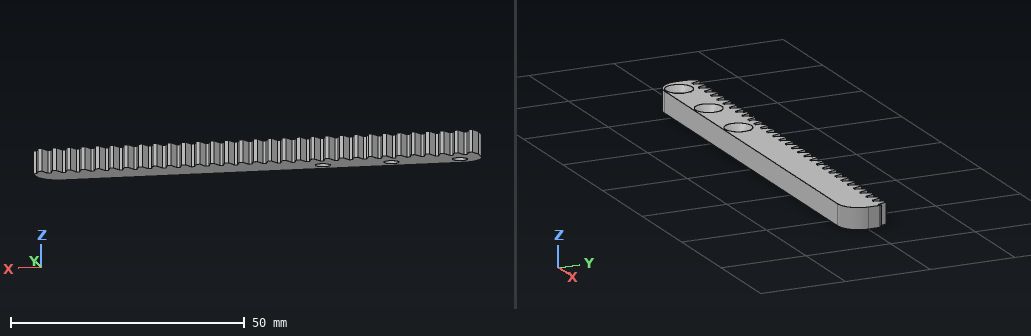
import cadquery as cq
import math

length = 97.5
width = 10.0
thickness = 5.0
corner_radius = 5.0

module = 1.0
pressure_angle = math.radians(20)
pitch = math.pi * module
addendum = module
dedendum = 1.25 * module
pitch_line_y = width - addendum
root_y = pitch_line_y - dedendum
tip_half_width = pitch / 4 - addendum * math.tan(pressure_angle)
root_half_width = pitch / 4 + dedendum * math.tan(pressure_angle)
first_tooth_x = root_half_width
tooth_count = math.ceil(length / pitch)

hole_diameter = 3.2
countersink_diameter = 6.2
countersink_angle = 90
first_hole_x = 5.0
hole_spacing = 15.0
hole_count = 3
hole_y = 3.5


def make_bar():
    """Plain bar up to the tooth roots, with its back corners rounded."""
    bar = cq.Workplane("XY").box(length, root_y, thickness, centered=False)
    return bar.edges("|Z and <Y").fillet(corner_radius)


def make_tooth(center_x):
    """One straight-sided rack tooth standing on the root line."""
    return (
        cq.Workplane("XY")
        .moveTo(center_x - root_half_width, root_y)
        .lineTo(center_x - tip_half_width, width)
        .lineTo(center_x + tip_half_width, width)
        .lineTo(center_x + root_half_width, root_y)
        .close()
        .extrude(thickness)
    )


def add_teeth(bar):
    """Add the row of teeth; the last one is cut off by the end of the bar."""
    for index in range(tooth_count):
        bar = bar.union(make_tooth(first_tooth_x + index * pitch))
    envelope = cq.Workplane("XY").box(length, width, thickness, centered=False)
    return bar.intersect(envelope)


def cut_screw_holes(rack):
    """Through holes countersunk from the top face."""
    centers = [(first_hole_x + index * hole_spacing, hole_y) for index in range(hole_count)]
    return (
        rack.faces(">Z")
        .workplane(origin=(0, 0, thickness))
        .pushPoints(centers)
        .cskHole(hole_diameter, countersink_diameter, countersink_angle)
    )


result = cut_screw_holes(add_teeth(make_bar()))